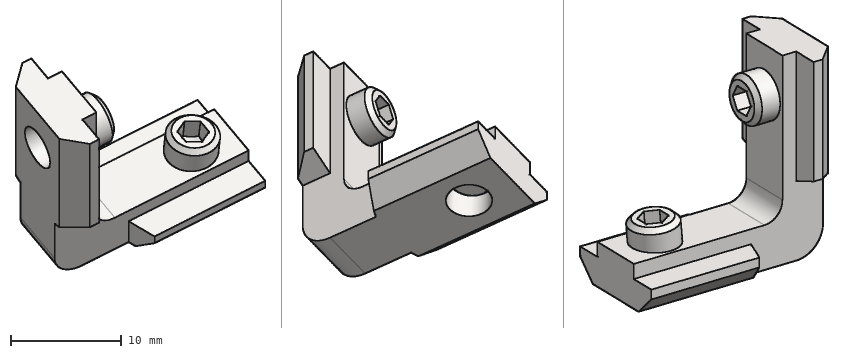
import cadquery as cq
import math

LEG_LENGTH = 21.0
LEG_THICKNESS = 4.52
NECK_WIDTH = 5.75
OUTER_RADIUS = 3.0
INNER_RADIUS = 2.0

WING_WIDTH = 11.3
WING_HEIGHT = 3.0
WING_CHAMFER = 2.02
WING_START = 8.0
WING_END_ANGLE = 20.0

SCREW_DIAMETER = 5.0
SCREW_LENGTH = 5.0
HEAD_CHAMFER = 0.5
TIP_DIAMETER = 3.5
SOCKET_FLATS = 2.5
SOCKET_DEPTH = 2.0
SOCKET_POINT_ANGLE = 120.0

HOLE_DIAMETER = 4.2
SCREW_STAND_OUT = 2.5
UPRIGHT_SCREW_HEIGHT = 16.0
TILTED_SCREW_Y = 16.86
TILTED_SCREW_Z = 7.01
SCREW_TILT = 5.0

half_neck = NECK_WIDTH / 2
half_wing = WING_WIDTH / 2
tip_chamfer = (SCREW_DIAMETER - TIP_DIAMETER) / 2

tilt = math.radians(SCREW_TILT)
SCREW_PLANES = [
    cq.Plane(
        origin=(0, TILTED_SCREW_Y, TILTED_SCREW_Z),
        xDir=(1, 0, 0),
        normal=(0, math.sin(tilt), math.cos(tilt)),
    ),
    cq.Plane(
        origin=(0, LEG_THICKNESS + SCREW_STAND_OUT, UPRIGHT_SCREW_HEIGHT),
        xDir=(1, 0, 0),
        normal=(0, 1, 0),
    ),
]


def make_angle():
    """L-shaped strip of neck width with a rounded corner."""
    outline = [
        (0, 0),
        (LEG_LENGTH, 0),
        (LEG_LENGTH, LEG_THICKNESS),
        (LEG_THICKNESS, LEG_THICKNESS),
        (LEG_THICKNESS, LEG_LENGTH),
        (0, LEG_LENGTH),
    ]
    angle = cq.Workplane("YZ").polyline(outline).close().extrude(half_neck, both=True)
    angle = angle.edges(cq.selectors.NearestToPointSelector((0, 0, 0))).fillet(OUTER_RADIUS)
    inner_corner = (0, LEG_THICKNESS, LEG_THICKNESS)
    return angle.edges(cq.selectors.NearestToPointSelector(inner_corner)).fillet(INNER_RADIUS)


def make_wings():
    """Wings of the leg along Y: chamfered section with sloping ends."""
    slope_length = (half_wing - half_neck) * math.tan(math.radians(WING_END_ANGLE))
    plan = [
        (-half_neck, WING_START),
        (half_neck, WING_START),
        (half_wing, WING_START + slope_length),
        (half_wing, LEG_LENGTH),
        (-half_wing, LEG_LENGTH),
        (-half_wing, WING_START + slope_length),
    ]
    section = [
        (-half_wing + WING_CHAMFER, 0),
        (half_wing - WING_CHAMFER, 0),
        (half_wing, WING_CHAMFER),
        (half_wing, WING_HEIGHT),
        (-half_wing, WING_HEIGHT),
        (-half_wing, WING_CHAMFER),
    ]
    plate = cq.Workplane("XY").polyline(plan).close().extrude(WING_HEIGHT)
    bar = cq.Workplane("XZ").polyline(section).close().extrude(-LEG_LENGTH)
    return plate.intersect(bar)


def revolve_about_normal(plane, half_profile):
    """Turn (radius, height) points about the plane's normal."""
    turning_plane = cq.Plane(origin=plane.origin, xDir=plane.xDir, normal=-plane.yDir)
    profile = cq.Workplane(turning_plane).polyline(half_profile).close()
    return profile.revolve(360, (0, 0), (0, 1))


def make_screw_blank(plane):
    """Screw without its socket: a cylinder chamfered at both ends."""
    radius = SCREW_DIAMETER / 2
    half_profile = [
        (0, 0),
        (radius - HEAD_CHAMFER, 0),
        (radius, -HEAD_CHAMFER),
        (radius, -SCREW_LENGTH + tip_chamfer),
        (TIP_DIAMETER / 2, -SCREW_LENGTH),
        (0, -SCREW_LENGTH),
    ]
    return revolve_about_normal(plane, half_profile)


def make_socket(plane):
    """Hexagonal socket with a drill-point floor, corners along X."""
    corner_radius = SOCKET_FLATS / 2 / math.cos(math.pi / 6)
    point_depth = corner_radius / math.tan(math.radians(SOCKET_POINT_ANGLE / 2))
    full_depth = SOCKET_DEPTH + point_depth
    hexagon = cq.Workplane(plane).polygon(6, 2 * corner_radius).extrude(-full_depth)
    half_profile = [
        (0, 0),
        (corner_radius, 0),
        (corner_radius, -SOCKET_DEPTH),
        (0, -full_depth),
    ]
    return hexagon.intersect(revolve_about_normal(plane, half_profile))


def make_set_screw(plane):
    """Set screw whose socket face lies on the plane."""
    return make_screw_blank(plane).cut(make_socket(plane))


def make_bracket():
    """Angle with wings on both legs and a screw seat and through hole in each."""
    wings = make_wings()
    upright_wings = wings.rotate((0, 0, 0), (0, 1, 1), 180)
    bracket = make_angle().union(wings).union(upright_wings)
    hole_length = 2 * (LEG_THICKNESS + SCREW_STAND_OUT)
    for plane in SCREW_PLANES:
        hole = cq.Workplane(plane).circle(HOLE_DIAMETER / 2).extrude(-hole_length)
        bracket = bracket.cut(hole).cut(make_screw_blank(plane))
    return bracket


bracket = make_bracket()
set_screws = [make_set_screw(plane) for plane in SCREW_PLANES]

result = cq.Compound.makeCompound(
    [bracket.solids().val(), *[screw.solids().val() for screw in set_screws]]
)